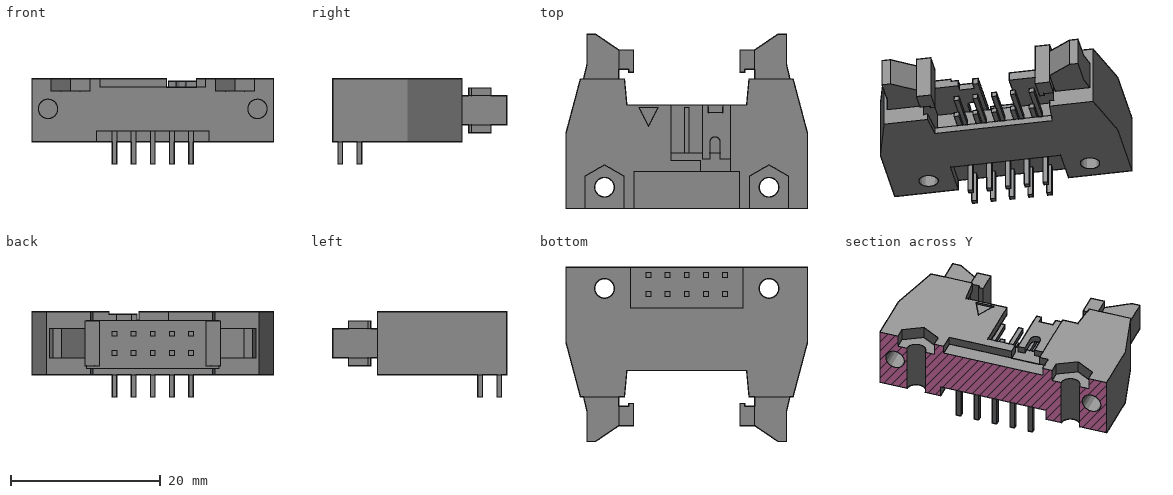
import cadquery as cq
import math

BODY_WIDTH = 32.3
BODY_HEIGHT = 8.45
SIDE_TAPER_START = 10.0
EAR_END = 17.3
EAR_OUTER_X = 14.2
EAR_INNER_X = 8.3
MOUTH_Y = 13.82
MOUTH_HALF_WIDTH = 7.98

CAVITY_HALF_WIDTH = 8.85
CAVITY_FRONT_Y = 7.43
CAVITY_FLOOR_Z = 0.87
CAVITY_ROOF_Z = 7.27

KEY_WIDTH = 4.2
KEY_FRONT_Y = 6.4

CLIP_LEFT_X = KEY_WIDTH / 2
CLIP_RIGHT_X = 5.8
CLIP_FRONT_Y = 6.62
CLIP_DROP = 0.32
CLIP_POCKET_LEFT_X = 1.85
CLIP_NOTCH_LEFT_X = 2.85
CLIP_NOTCH_RIGHT_X = 4.8
CLIP_NOTCH_DEPTH = 1.03
CLIP_SLOT_X = 3.78
CLIP_SLOT_WIDTH = 1.35
CLIP_SLOT_END_Y = 9.55

TOP_RECESS_WIDTH = 14.08
TOP_RECESS_LENGTH = 4.95
TOP_RECESS_DEPTH = 1.13
BOTTOM_RECESS_WIDTH = 15.0
BOTTOM_RECESS_LENGTH = 5.5
BOTTOM_RECESS_DEPTH = 1.5

HOLE_DIAMETER = 2.6
MOUNT_X = 10.98
MOUNT_Y = 2.85
NUT_WIDTH = 5.17
NUT_DEPTH = 1.68
FRONT_HOLE_X = 14.0
FRONT_HOLE_Z = 4.43
FRONT_HOLE_DEPTH = 6.45

MARK_X = -5.1
MARK_WIDTH = 2.52
MARK_BASE_Y = 13.47
MARK_TIP_Y = 10.98
MARK_DEPTH = 0.25

PIN_SIZE = 0.65
PIN_PITCH = 2.55
PIN_COLUMNS = 5
PIN_ROWS = 2
PIN_END_Y = 13.47
PIN_TAIL_LENGTH = 2.95
TAIL_FRONT_Y = 1.03

LATCH_HEIGHT = 3.9
LATCH_END = 23.3
LATCH_INNER_X = 9.08
LATCH_OUTER_X = 13.35
LATCH_TIP_X = 12.18
LATCH_SHOULDER_Y = 21.2
LATCH_BEND_Y = 19.25
LATCH_ROOT_X = 13.8
HOOK_HEIGHT = 6.0
HOOK_TIP_X = 7.1
HOOK_UNDERSIDE_Y = 18.57
HOOK_LIP_Y = 18.2
HOOK_LIP_X = 7.75

MID_Z = BODY_HEIGHT / 2


def block(x0, x1, y0, y1, z0, z1):
    """Box between opposite corners."""
    return cq.Workplane("XY").box(x1 - x0, y1 - y0, z1 - z0, centered=False).translate((x0, y0, z0))


def slab(points, z0, z1):
    """Closed outline in XY, extruded from z0 to z1."""
    return cq.Workplane("XY").workplane(offset=z0).polyline(points).close().extrude(z1 - z0)


def cylinder(x, y, radius, z0, z1):
    """Upright cylinder from z0 to z1."""
    return cq.Workplane("XY").workplane(offset=z0).center(x, y).circle(radius).extrude(z1 - z0)


def mirrored_pair(shape):
    """The shape together with its mirror image across the YZ plane."""
    return shape.union(shape.mirror("YZ"))


def body():
    half = BODY_WIDTH / 2
    right_side = [
        (half, 0),
        (half, SIDE_TAPER_START),
        (EAR_OUTER_X, EAR_END),
        (EAR_INNER_X, EAR_END),
        (MOUTH_HALF_WIDTH, MOUTH_Y),
    ]
    left_side = [(-x, y) for x, y in reversed(right_side)]
    return slab(right_side + left_side, 0, BODY_HEIGHT)


def cavity():
    half = CAVITY_HALF_WIDTH
    chamber = block(-half, half, CAVITY_FRONT_Y, EAR_END, CAVITY_FLOOR_Z, CAVITY_ROOF_Z)
    key = block(-KEY_WIDTH / 2, KEY_WIDTH / 2, KEY_FRONT_Y, MOUTH_Y, CAVITY_ROOF_Z, BODY_HEIGHT)
    return chamber.union(key)


def clip_pocket():
    return block(CLIP_POCKET_LEFT_X, CLIP_RIGHT_X, TOP_RECESS_LENGTH, MOUTH_Y, CAVITY_ROOF_Z, BODY_HEIGHT)


def clip():
    z0 = CAVITY_ROOF_Z
    z1 = BODY_HEIGHT - CLIP_DROP
    radius = CLIP_SLOT_WIDTH / 2
    slot_centre_y = CLIP_SLOT_END_Y - radius
    plate = block(CLIP_LEFT_X, CLIP_RIGHT_X, CLIP_FRONT_Y, MOUTH_Y, z0, z1)
    notch = block(CLIP_NOTCH_LEFT_X, CLIP_NOTCH_RIGHT_X, MOUTH_Y - CLIP_NOTCH_DEPTH, MOUTH_Y, z0, z1)
    slot = block(CLIP_SLOT_X - radius, CLIP_SLOT_X + radius, CLIP_FRONT_Y, slot_centre_y, z0, z1)
    slot_end = cylinder(CLIP_SLOT_X, slot_centre_y, radius, z0, z1)
    return plate.cut(notch).cut(slot).cut(slot_end)


def edge_recesses():
    top_half = TOP_RECESS_WIDTH / 2
    bottom_half = BOTTOM_RECESS_WIDTH / 2
    top = block(-top_half, top_half, 0, TOP_RECESS_LENGTH, BODY_HEIGHT - TOP_RECESS_DEPTH, BODY_HEIGHT)
    bottom = block(-bottom_half, bottom_half, 0, BOTTOM_RECESS_LENGTH, 0, BOTTOM_RECESS_DEPTH)
    return top.union(bottom)


def mounting_cut():
    """Through hole and a nut pocket that runs out of the front face."""
    half = NUT_WIDTH / 2
    shoulder_y = MOUNT_Y + half * math.tan(math.radians(30))
    tip_y = MOUNT_Y + half / math.cos(math.radians(30))
    outline = [
        (MOUNT_X - half, 0),
        (MOUNT_X + half, 0),
        (MOUNT_X + half, shoulder_y),
        (MOUNT_X, tip_y),
        (MOUNT_X - half, shoulder_y),
    ]
    pocket = slab(outline, BODY_HEIGHT - NUT_DEPTH, BODY_HEIGHT)
    hole = cylinder(MOUNT_X, MOUNT_Y, HOLE_DIAMETER / 2, 0, BODY_HEIGHT)
    return mirrored_pair(pocket.union(hole))


def front_holes():
    hole = (
        cq.Workplane("XZ")
        .center(FRONT_HOLE_X, FRONT_HOLE_Z)
        .circle(HOLE_DIAMETER / 2)
        .extrude(-FRONT_HOLE_DEPTH)
    )
    return mirrored_pair(hole)


def pin_1_mark():
    outline = [
        (MARK_X - MARK_WIDTH / 2, MARK_BASE_Y),
        (MARK_X + MARK_WIDTH / 2, MARK_BASE_Y),
        (MARK_X, MARK_TIP_Y),
    ]
    return slab(outline, BODY_HEIGHT - MARK_DEPTH, BODY_HEIGHT)


def pins():
    """Two rows of contacts with tails that point down below the body."""
    half = PIN_SIZE / 2
    group = cq.Workplane("XY")
    for column in range(PIN_COLUMNS):
        x = (column - (PIN_COLUMNS - 1) / 2) * PIN_PITCH
        for row in range(PIN_ROWS):
            tail_y = TAIL_FRONT_Y + row * PIN_PITCH
            contact_z = MID_Z + ((PIN_ROWS - 1) / 2 - row) * PIN_PITCH
            tail = block(x - half, x + half, tail_y - half, tail_y + half, -PIN_TAIL_LENGTH, contact_z + half)
            contact = block(x - half, x + half, tail_y, PIN_END_Y, contact_z - half, contact_z + half)
            group = group.union(tail).union(contact)
    return group


def latches():
    arm_outline = [
        (LATCH_INNER_X, EAR_END),
        (LATCH_ROOT_X, EAR_END),
        (LATCH_OUTER_X, LATCH_BEND_Y),
        (LATCH_OUTER_X, LATCH_END),
        (LATCH_TIP_X, LATCH_END),
        (LATCH_INNER_X, LATCH_SHOULDER_Y),
    ]
    hook_outline = [
        (LATCH_INNER_X, LATCH_SHOULDER_Y),
        (HOOK_TIP_X, LATCH_SHOULDER_Y),
        (HOOK_TIP_X, HOOK_LIP_Y),
        (HOOK_LIP_X, HOOK_LIP_Y),
        (HOOK_LIP_X, HOOK_UNDERSIDE_Y),
        (LATCH_INNER_X, HOOK_UNDERSIDE_Y),
    ]
    arm = slab(arm_outline, MID_Z - LATCH_HEIGHT / 2, MID_Z + LATCH_HEIGHT / 2)
    hook = slab(hook_outline, MID_Z - HOOK_HEIGHT / 2, MID_Z + HOOK_HEIGHT / 2)
    return mirrored_pair(arm.union(hook))


housing = body()
for removed in (cavity(), clip_pocket(), edge_recesses(), mounting_cut(), front_holes(), pin_1_mark()):
    housing = housing.cut(removed)

result = housing.union(clip()).union(pins()).union(latches())